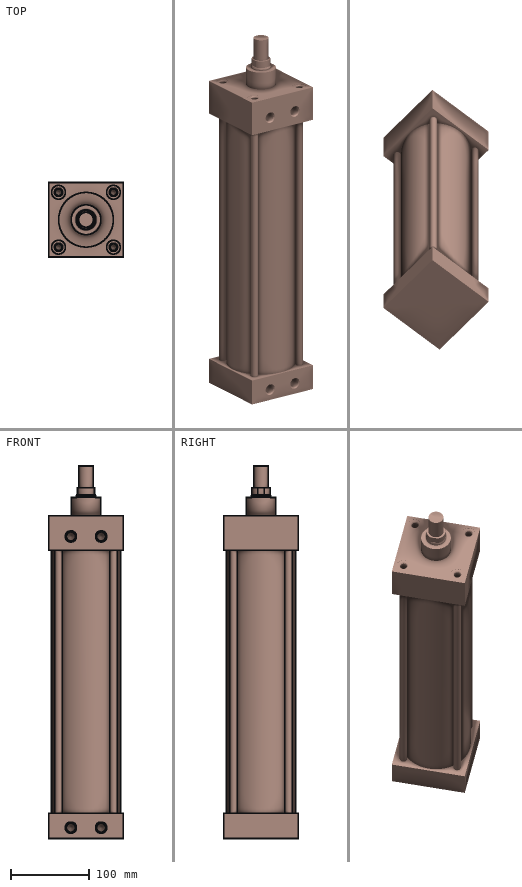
import cadquery as cq
import math

INCH = 25.4

end_block_side = 3.75 * INCH
overall_length = 18.75 * INCH

cap_height = 32.6
head_height = 1.75 * INCH
head_top_z = 412.75
head_bottom_z = head_top_z - head_height
gland_top_z = 435.8

barrel_diameter = 3.5 * INCH
tie_rod_pitch = 2.76 * INCH
tie_rod_diameter = 0.375 * INCH

gland_sleeve_diameter = 2.75 * INCH
gland_boss_diameter = 1.5 * INCH

drill_tip_angle = 118
port_mouth_diameter = 14.3
port_bore_diameter = 11.6
port_bore_depth = 14.0
port_spacing = 38.6
head_port_z = 386.0
cap_port_z = 14.1
corner_mouth_diameter = 10.6
corner_bore_diameter = 8.6
corner_bore_depth = 19.0
spotface_diameter = 17.6
spotface_depth = 0.25

rod_diameter = 1.0 * INCH
rod_neck_diameter = 23.8
rod_thread_diameter = 0.75 * INCH
rod_thread_length = 28.0
rod_shoulder_z = 437.2
rod_neck_z = 439.3
flats_width = 0.875 * INCH


def tapped_hole_tool(mouth_diameter, bore_diameter, depth):
    """Revolved cutter with its mouth on the XY plane, drilling toward -Z."""
    mouth_radius = mouth_diameter / 2
    bore_radius = bore_diameter / 2
    countersink_depth = mouth_radius - bore_radius
    tip_height = bore_radius / math.tan(math.radians(drill_tip_angle / 2))
    return (
        cq.Workplane("XZ")
        .moveTo(0, 0)
        .lineTo(mouth_radius, 0)
        .lineTo(bore_radius, -countersink_depth)
        .lineTo(bore_radius, -depth)
        .lineTo(0, -depth - tip_height)
        .close()
        .revolve(360, (0, 0, 0), (0, 1, 0))
    )


def cut_ports(block, port_z):
    """Cut the pair of ports into the -Y face of an end block."""
    tool = tapped_hole_tool(port_mouth_diameter, port_bore_diameter, port_bore_depth)
    tool = tool.rotate((0, 0, 0), (1, 0, 0), 90)
    for side in (-1, 1):
        place = (side * port_spacing / 2, -end_block_side / 2, port_z)
        block = block.cut(tool.translate(place))
    return block


def cylinder(diameter, bottom_z, top_z):
    """Round bar on the main axis."""
    return cq.Workplane("XY", origin=(0, 0, bottom_z)).circle(diameter / 2).extrude(top_z - bottom_z)


def end_block(bottom_z, height):
    """Square block centred on the main axis."""
    return (
        cq.Workplane("XY", origin=(0, 0, bottom_z))
        .rect(end_block_side, end_block_side)
        .extrude(height)
    )


def corner_cylinders(diameter, bottom_z, top_z):
    """Four round bars, one on each tie rod axis."""
    return (
        cq.Workplane("XY", origin=(0, 0, bottom_z))
        .rect(tie_rod_pitch, tie_rod_pitch, forConstruction=True)
        .vertices()
        .circle(diameter / 2)
        .extrude(top_z - bottom_z)
    )


def cut_corner_holes(head):
    """Cut a shallow spotface and a tapped hole into the head at each corner."""
    spotface_z = head_top_z - spotface_depth
    head = head.cut(corner_cylinders(spotface_diameter, spotface_z, head_top_z))
    tool = tapped_hole_tool(corner_mouth_diameter, corner_bore_diameter, corner_bore_depth)
    offset = tie_rod_pitch / 2
    for x in (-offset, offset):
        for y in (-offset, offset):
            head = head.cut(tool.translate((x, y, spotface_z)))
    return head


def make_frame():
    """Head and cap, tied together by the four tie rods."""
    head = end_block(head_bottom_z, head_height)
    head = cut_corner_holes(head)
    head = cut_ports(head, head_port_z)
    head = head.cut(cylinder(gland_sleeve_diameter, head_bottom_z, head_top_z))
    cap = cut_ports(end_block(0, cap_height), cap_port_z)
    tie_rods = corner_cylinders(tie_rod_diameter, cap_height, head_bottom_z)
    return cap.union(tie_rods).union(head)


def make_barrel():
    return cylinder(barrel_diameter, cap_height, head_bottom_z)


def make_gland():
    """Stepped bushing that guides the rod."""
    sleeve = cylinder(gland_sleeve_diameter, head_bottom_z, head_top_z)
    boss = cylinder(gland_boss_diameter, head_top_z, gland_top_z)
    rod_bore = cylinder(rod_diameter, head_bottom_z, gland_top_z)
    return sleeve.union(boss).cut(rod_bore)


def make_rod():
    """Piston rod with a beveled shoulder, a flatted neck and a slimmer end."""
    neck_top_z = overall_length - rod_thread_length
    rod = (
        cq.Workplane("XZ")
        .moveTo(0, head_bottom_z)
        .lineTo(rod_diameter / 2, head_bottom_z)
        .lineTo(rod_diameter / 2, rod_shoulder_z)
        .lineTo(rod_neck_diameter / 2, rod_neck_z)
        .lineTo(rod_neck_diameter / 2, neck_top_z)
        .lineTo(rod_thread_diameter / 2, neck_top_z)
        .lineTo(rod_thread_diameter / 2, overall_length)
        .lineTo(0, overall_length)
        .close()
        .revolve(360, (0, 0, 0), (0, 1, 0))
    )
    flat_depth = (rod_diameter - flats_width) / 2
    for side in (-1, 1):
        flat_cutter = (
            cq.Workplane("XY", origin=(side * (flats_width + flat_depth) / 2, 0, rod_neck_z))
            .rect(flat_depth, rod_diameter)
            .extrude(neck_top_z - rod_neck_z)
        )
        rod = rod.cut(flat_cutter)
    return rod


frame = make_frame()
barrel = make_barrel()
gland = make_gland()
rod = make_rod()

result = cq.Compound.makeCompound([frame.val(), barrel.val(), gland.val(), rod.val()])